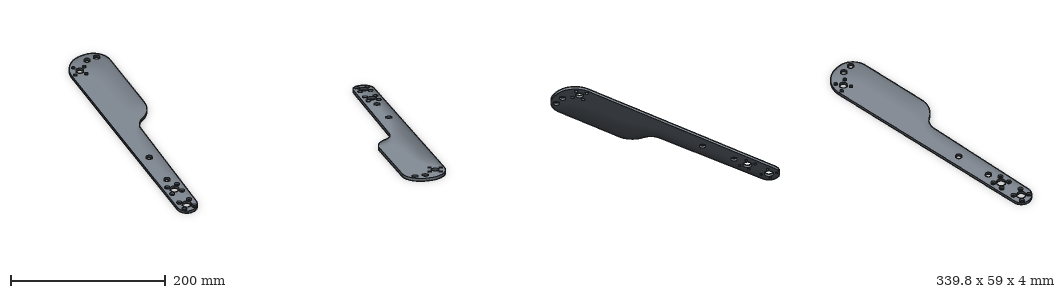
import cadquery as cq
import math

length = 339.8
width = 59.0
thickness = 4.0

lower_left_radius = 30.0
upper_left_radius = 25.0
shoulder_radius = 30.0
neck_radius = 20.0
tip_radius = 14.0

shoulder_x = 120.3
taper_angle = math.radians(1.15)

axis_y = tip_radius
plain_hole_diameter = 8.0
arm_hole_xs = (220.5, 270.5)
end_hole_x = 11.5
end_hole_ys = (32.0, 46.0)

pivot_x = 25.8
pivot_diameter = 10.2
ring_radius = 10.2
ring_hole_diameter = 4.5
ring_angle = 28.0
ring_count = 4

tip_x = length - tip_radius
mount_spacing = 34.0
mount_xs = (tip_x - mount_spacing, tip_x)
mount_bore_diameter = 12.0
screw_spacing = 14.3
screw_diameter = 3.5
screw_head_diameter = 6.5
countersink_angle = 90.0


def point_on_arc(center, radius, angle):
    """Point at an angle (radians) on a circle."""
    return (
        center[0] + radius * math.cos(angle),
        center[1] + radius * math.sin(angle),
    )


def make_plate():
    """Paddle outline, every arc tangent to its neighbours."""
    up = math.pi / 2
    edge_normal = up - taper_angle
    tip_center = (tip_x, tip_radius)
    shoulder_center = (shoulder_x, width - shoulder_radius)
    lower_center = (lower_left_radius, lower_left_radius)
    upper_center = (upper_left_radius, width - upper_left_radius)

    along = (math.cos(taper_angle), -math.sin(taper_angle))
    normal = (math.sin(taper_angle), math.cos(taper_angle))
    dx = tip_center[0] - shoulder_center[0]
    dy = tip_center[1] - shoulder_center[1]
    across = dx * normal[0] + dy * normal[1] + tip_radius + neck_radius
    reach = math.sqrt((shoulder_radius + neck_radius) ** 2 - across**2)
    neck_center = (
        shoulder_center[0] + reach * along[0] + across * normal[0],
        shoulder_center[1] + reach * along[1] + across * normal[1],
    )
    contact_angle = math.atan2(
        neck_center[1] - shoulder_center[1],
        neck_center[0] - shoulder_center[0],
    )
    neck_start = contact_angle + math.pi
    neck_end = edge_normal + math.pi

    return (
        cq.Workplane("XY")
        .moveTo(lower_left_radius, 0)
        .lineTo(tip_x, 0)
        .threePointArc((length, tip_radius), point_on_arc(tip_center, tip_radius, edge_normal))
        .lineTo(*point_on_arc(neck_center, neck_radius, neck_end))
        .threePointArc(
            point_on_arc(neck_center, neck_radius, (neck_start + neck_end) / 2),
            point_on_arc(neck_center, neck_radius, neck_start),
        )
        .threePointArc(
            point_on_arc(shoulder_center, shoulder_radius, (contact_angle + up) / 2),
            (shoulder_x, width),
        )
        .lineTo(upper_left_radius, width)
        .threePointArc(
            point_on_arc(upper_center, upper_left_radius, 1.5 * up),
            (0, width - upper_left_radius),
        )
        .lineTo(0, lower_left_radius)
        .threePointArc(
            point_on_arc(lower_center, lower_left_radius, 2.5 * up),
            (lower_left_radius, 0),
        )
        .close()
        .extrude(thickness)
    )


def top_points(plate, points):
    """Workplane on the top face, holding the given XY points."""
    return plate.faces(">Z").workplane(origin=(0, 0, thickness)).pushPoints(points)


def cut_plain_holes(plate):
    points = [(x, axis_y) for x in arm_hole_xs]
    points += [(end_hole_x, y) for y in end_hole_ys]
    return top_points(plate, points).hole(plain_hole_diameter)


def cut_pivot(plate):
    center = (pivot_x, axis_y)
    step = 360.0 / ring_count
    ring = [
        point_on_arc(center, ring_radius, math.radians(ring_angle + i * step))
        for i in range(ring_count)
    ]
    plate = top_points(plate, [center]).hole(pivot_diameter)
    return top_points(plate, ring).hole(ring_hole_diameter)


def cut_motor_mount(plate, x):
    """Central bore with a square of four countersunk screw holes."""
    half = screw_spacing / 2
    screws = [(x + i * half, axis_y + j * half) for i in (-1, 1) for j in (-1, 1)]
    plate = top_points(plate, [(x, axis_y)]).hole(mount_bore_diameter)
    return top_points(plate, screws).cskHole(screw_diameter, screw_head_diameter, countersink_angle)


result = make_plate()
result = cut_plain_holes(result)
result = cut_pivot(result)
for mount_x in mount_xs:
    result = cut_motor_mount(result, mount_x)